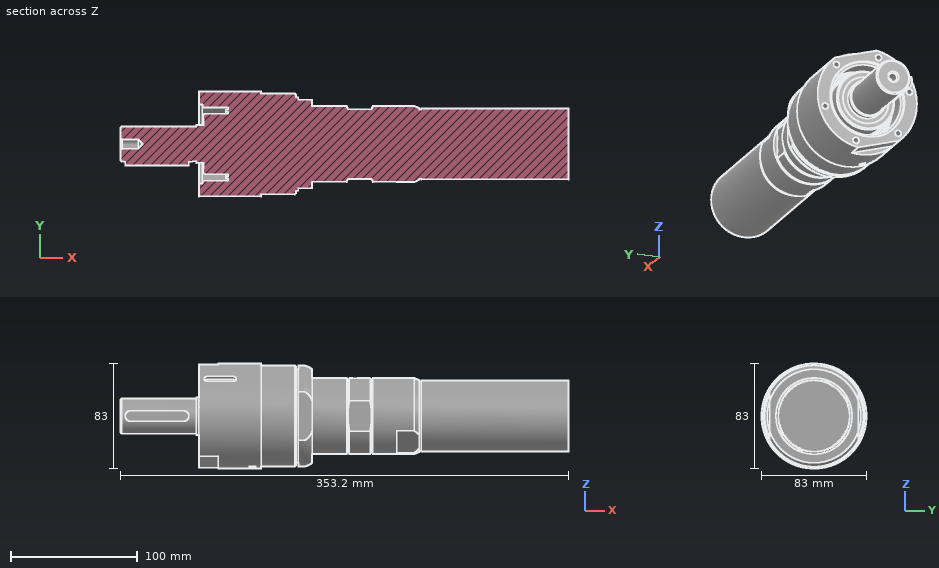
import cadquery as cq
import math

LENGTH = 353.2
COLLAR_START = 59.7
FLANGE_START = 61.8
FLANGE_END = 111.0
RING_END = 138.5
HEX_START = 140.2
HEX_CURVE_START = 144.8
HEX_END = 151.0
WAIST_START = 179.5
WAIST_END = 197.8
TAPER_START = 231.7
TUBE_START = 237.0

SHAFT_DIA = 28.0
COLLAR_DIA = 30.0
FLANGE_DIA = 83.0
RING_DIA = 79.8
HEX_DIA = 79.8
HEX_END_DIA = 73.8
NECK_DIA = 60.0
TUBE_DIA = 56.0

TIP_CHAMFER = 1.0
EDGE_BREAK = 1.0
RELIEF_DEPTH = 2.5
TAPER_DROP = 1.8
TUBE_RELIEF_WIDTH = 1.5
TUBE_RELIEF_DIA = 54.7

RECESS_DIA = 62.0
RECESS_DEPTH = 3.0
SEAL_GROOVE_DIA = 57.5
SEAL_GROOVE_DEPTH = 23.0
SEAL_RING_OUTER_DIA = 54.5
SEAL_RING_INNER_DIA = 51.0
SEAL_RING_HEIGHT = 1.8
HUB_DIA = 48.0
HUB_DEPTH = 3.5
HUB_CHAMFER = 1.0
HUB_STEP_DIA = 38.0
HUB_STEP_DEPTH = 0.5

KEY_START = 4.0
KEY_LENGTH = 50.0
KEY_WIDTH = 8.0
KEY_TOP = 17.0
CENTRE_HOLE_DIA = 7.0
CENTRE_HOLE_DEPTH = 14.0
CENTRE_SINK_DIA = 9.0

BOLT_COUNT = 6
BOLT_CIRCLE_DIA = 72.8
BOLT_HOLE_DIA = 5.0
BOLT_HOLE_DEPTH = 10.5
FLANGE_TURN = 15.0
FLANGE_FLAT_DISTANCE = 37.5
FLANGE_FLAT_LENGTH = 15.2
SLOT_CENTRE = 78.8
SLOT_LENGTH = 25.0
SLOT_WIDTH = 5.5
SLOT_DEPTH = 3.5
SLOT_ANGLE = 45.0
PORT_CENTRE = 104.2
PORT_DIA = 5.0
PORT_DEPTH = 3.5
PORT_ANGLE = 165.0

HEX_FLAT_DISTANCE = 35.0
WAIST_FLAT_DISTANCE = 27.5
REAR_FLAT_DISTANCE = 27.2
REAR_FLAT_START = 218.0
REAR_FLAT_ANGLE = -42.0
VENT_CENTRE = 184.7
VENT_DIA = 5.5
VENT_DEPTH = 17.5


def turn(shape, angle):
    """Rotate about the X axis; a positive angle carries +Z toward -Y."""
    return shape.rotate((0, 0, 0), (1, 0, 0), angle)


def tube(start, end, outer_dia, inner_dia):
    """Ring of material around the X axis, used as a cutter."""
    return (
        cq.Workplane("YZ", origin=(start, 0, 0))
        .circle(outer_dia / 2)
        .circle(inner_dia / 2)
        .extrude(end - start)
    )


def flat_pair(start, end, distance, angle):
    """Cutters for two opposite flats, the first facing +Z before it is turned."""
    height = FLANGE_DIA
    slab = cq.Workplane("XY", origin=((start + end) / 2, 0, distance)).box(
        end - start, 2 * FLANGE_DIA, height, centered=(True, True, False)
    )
    return turn(slab, angle).union(turn(slab, angle + 180))


def radial_hole(x, dia, surface_dia, depth, angle):
    """Cutter for a blind hole into a cylinder, entering from +Z before it is turned."""
    floor = surface_dia / 2 - depth
    hole = cq.Workplane("XY", origin=(x, 0, floor)).circle(dia / 2).extrude(2 * depth)
    return turn(hole, angle)


def turned_body():
    """All coaxial diameters as one revolved outline."""
    shaft_r = SHAFT_DIA / 2
    ring_r = RING_DIA / 2
    hex_r = HEX_DIA / 2
    hex_end_r = HEX_END_DIA / 2
    neck_r = NECK_DIA / 2
    relief_r = neck_r - RELIEF_DEPTH
    hex_mid = (HEX_CURVE_START + HEX_END) / 2
    hex_mid_r = hex_r - (hex_r - hex_end_r) / 3

    outline = (
        cq.Workplane("XY")
        .moveTo(0, 0)
        .lineTo(0, shaft_r - TIP_CHAMFER)
        .lineTo(TIP_CHAMFER, shaft_r)
        .lineTo(COLLAR_START, shaft_r)
        .lineTo(COLLAR_START, COLLAR_DIA / 2)
        .lineTo(FLANGE_START, COLLAR_DIA / 2)
        .lineTo(FLANGE_START, FLANGE_DIA / 2)
        .lineTo(FLANGE_END, FLANGE_DIA / 2)
        .lineTo(FLANGE_END, ring_r)
        .lineTo(RING_END - EDGE_BREAK, ring_r)
        .lineTo(RING_END, ring_r - EDGE_BREAK)
        .lineTo(RING_END, hex_end_r)
        .lineTo(HEX_START, hex_end_r)
        .lineTo(HEX_START, hex_r)
        .lineTo(HEX_CURVE_START, hex_r)
        .threePointArc((hex_mid, hex_mid_r), (HEX_END, hex_end_r))
        .lineTo(HEX_END, neck_r)
    )
    for relief_centre in (WAIST_START, WAIST_END):
        outline = (
            outline.lineTo(relief_centre - EDGE_BREAK, neck_r)
            .lineTo(relief_centre, relief_r)
            .lineTo(relief_centre + EDGE_BREAK, neck_r)
        )
    outline = (
        outline.lineTo(TAPER_START, neck_r)
        .lineTo(TUBE_START - TUBE_RELIEF_WIDTH, neck_r - TAPER_DROP)
        .lineTo(TUBE_START - TUBE_RELIEF_WIDTH, TUBE_RELIEF_DIA / 2)
        .lineTo(TUBE_START, TUBE_RELIEF_DIA / 2)
        .lineTo(TUBE_START, TUBE_DIA / 2)
        .lineTo(LENGTH, TUBE_DIA / 2)
        .lineTo(LENGTH, 0)
        .close()
    )
    return outline.revolve(360, (0, 0, 0), (1, 0, 0))


def shaft_key():
    """Round-ended key standing on the -Y side of the shaft."""
    centre = KEY_START + KEY_LENGTH / 2
    return cq.Workplane("XZ", origin=(centre, 0, 0)).slot2D(KEY_LENGTH, KEY_WIDTH).extrude(KEY_TOP)


def centre_hole():
    """Blind hole in the shaft tip with a 60 degree countersink."""
    sink_depth = (CENTRE_SINK_DIA - CENTRE_HOLE_DIA) / 2 / math.tan(math.radians(30))
    return (
        cq.Workplane("XY")
        .moveTo(0, 0)
        .lineTo(0, CENTRE_SINK_DIA / 2)
        .lineTo(sink_depth, CENTRE_HOLE_DIA / 2)
        .lineTo(CENTRE_HOLE_DEPTH, CENTRE_HOLE_DIA / 2)
        .lineTo(CENTRE_HOLE_DEPTH + CENTRE_HOLE_DIA / 2, 0)
        .close()
        .revolve(360, (0, 0, 0), (1, 0, 0))
    )


def seal_recess():
    """Stepped recess that leaves a hub around the collar and a low seal ring on the groove floor."""
    hub_face = FLANGE_START + HUB_DEPTH
    floor = FLANGE_START + SEAL_GROOVE_DEPTH
    mouth = tube(FLANGE_START, FLANGE_START + RECESS_DEPTH, RECESS_DIA, COLLAR_DIA)
    well = tube(FLANGE_START, floor, SEAL_GROOVE_DIA, COLLAR_DIA)
    hub = cq.Workplane("YZ", origin=(hub_face, 0, 0)).circle(HUB_DIA / 2).extrude(floor - hub_face)
    hub = hub.faces("<X").chamfer(HUB_CHAMFER)
    hub_step = tube(hub_face, hub_face + HUB_STEP_DEPTH, HUB_STEP_DIA, COLLAR_DIA)
    seal_ring = tube(floor - SEAL_RING_HEIGHT, floor, SEAL_RING_OUTER_DIA, SEAL_RING_INNER_DIA)
    return mouth.union(well).cut(hub).cut(seal_ring).union(hub_step)


def bolt_holes():
    """Circle of conical-bottomed blind holes in the flange face."""
    hole_r = BOLT_HOLE_DIA / 2
    bolt_r = BOLT_CIRCLE_DIA / 2
    floor = FLANGE_START + BOLT_HOLE_DEPTH
    hole = (
        cq.Workplane("XY")
        .moveTo(FLANGE_START, 0)
        .lineTo(FLANGE_START, hole_r)
        .lineTo(floor, hole_r)
        .lineTo(floor + hole_r, 0)
        .close()
        .revolve(360, (0, 0, 0), (1, 0, 0))
        .translate((0, 0, bolt_r))
    )
    holes = cq.Workplane("XY")
    for index in range(BOLT_COUNT):
        holes = holes.add(turn(hole, FLANGE_TURN + index * 360 / BOLT_COUNT))
    return holes.combine()


def flange_slot():
    """Shallow slot along X in the flange rim, between -Y and +Z."""
    floor = FLANGE_DIA / 2 - SLOT_DEPTH
    slot = (
        cq.Workplane("XY", origin=(SLOT_CENTRE, 0, floor))
        .slot2D(SLOT_LENGTH, SLOT_WIDTH)
        .extrude(2 * SLOT_DEPTH)
    )
    return turn(slot, SLOT_ANGLE)


body = turned_body().union(shaft_key())
body = body.cut(centre_hole()).cut(seal_recess()).cut(bolt_holes())

body = body.cut(
    flat_pair(FLANGE_START, FLANGE_START + FLANGE_FLAT_LENGTH, FLANGE_FLAT_DISTANCE, -FLANGE_TURN)
)
body = body.cut(flange_slot())
body = body.cut(radial_hole(PORT_CENTRE, PORT_DIA, FLANGE_DIA, PORT_DEPTH, PORT_ANGLE))

body = body.cut(flat_pair(HEX_START, HEX_END, HEX_FLAT_DISTANCE, 90))
body = body.cut(flat_pair(WAIST_START, WAIST_END, WAIST_FLAT_DISTANCE, 90))
body = body.cut(
    flat_pair(REAR_FLAT_START, TUBE_START - TUBE_RELIEF_WIDTH, REAR_FLAT_DISTANCE, REAR_FLAT_ANGLE)
)

result = body.cut(radial_hole(VENT_CENTRE, VENT_DIA, NECK_DIA, VENT_DEPTH, 0))